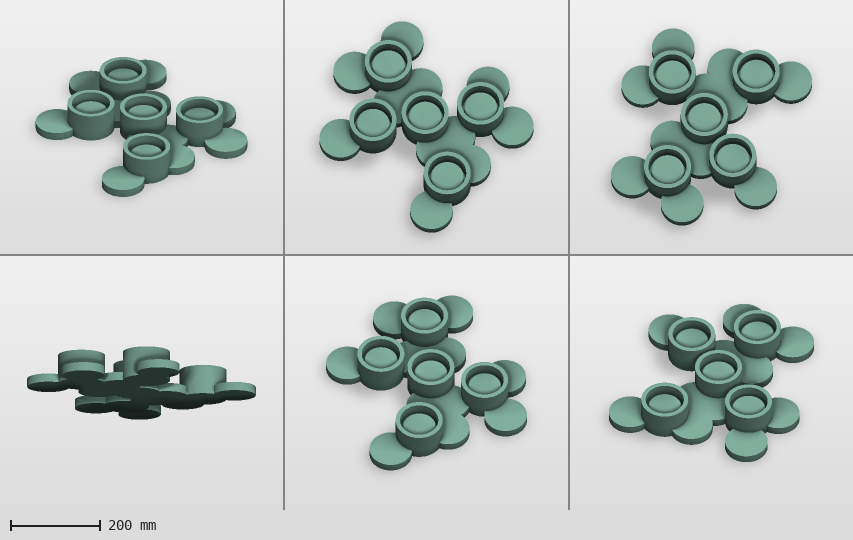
import cadquery as cq


total_height = 65.0
foot_radius = 47.5
foot_height = 19.0
cup_radius = 52.5
cup_wall = 10.0
well_radius = cup_radius - cup_wall
well_floor = foot_height

candle_radius = 37.0
candle_top_below_rim = 18.0
candle_rounding = 5.0
candle_height = total_height - candle_top_below_rim - well_floor

foot_centres = [
    (-146.0, 114.0),
    (-176.5, -11.0),
    (-38.5, 55.0),
    (-56.5, -17.5),
    (-91.5, -156.5),
    (176.5, -156.5),
    (176.5, 117.5),
    (71.0, 156.0),
    (166.0, -15.5),
    (94.0, 14.5),
    (87.0, -33.5),
]
cup_centres = [
    (-121.5, 39.5),
    (-53.0, -91.5),
    (23.5, -2.0),
    (101.2, 96.5),
    (157.5, -81.5),
]


def cylinder(centre, radius, height, base_z=0):
    """Upright cylinder standing at base_z."""
    return cq.Workplane("XY").workplane(offset=base_z).center(*centre).circle(radius).extrude(height)


def make_holder():
    """Overlapping feet and cups joined into one body, with a well in each cup."""
    holder = cq.Workplane("XY")
    for centre in foot_centres:
        holder = holder.add(cylinder(centre, foot_radius, foot_height))
    for centre in cup_centres:
        holder = holder.add(cylinder(centre, cup_radius, total_height))
    holder = holder.combine()
    for centre in cup_centres:
        holder = holder.cut(cylinder(centre, well_radius, total_height - well_floor, well_floor))
    return holder


def make_candle(centre):
    """Candle with a rounded top edge, standing on the floor of a well."""
    candle = cylinder(centre, candle_radius, candle_height, well_floor)
    return candle.faces(">Z").edges().fillet(candle_rounding)


holder = make_holder()
candles = [make_candle(centre) for centre in cup_centres]

result = cq.Compound.makeCompound([
    holder.solids().val(),
    *[candle.val() for candle in candles],
])